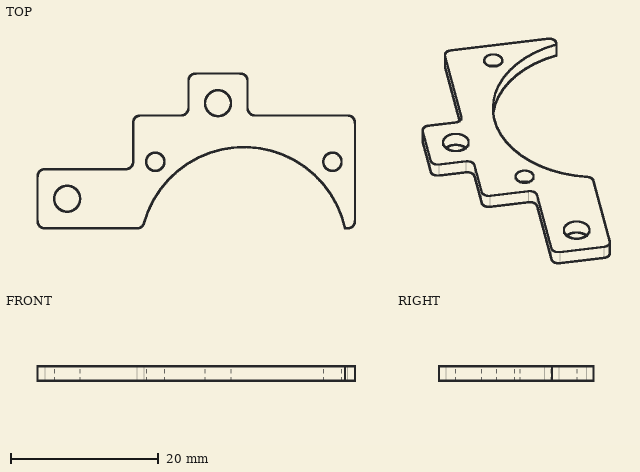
import cadquery as cq

length = 43.0
width = 21.0
thickness = 2.0
corner_radius = 1.0

arm_width = 8.05
body_left = 12.95
body_top = 15.3
tab_left = 20.42
tab_width = 8.05
tab_right = tab_left + tab_width

cutout_radius = 14.0
cutout_x = 27.95
cutout_y = -3.0

mount_diameter = 3.5
mount_centers = [
    (arm_width / 2, arm_width / 2),
    (tab_left + tab_width / 2, width - tab_width / 2),
]
small_diameter = 2.45
small_spacing = 24.0
small_y = 9.05
small_centers = [
    (cutout_x - small_spacing / 2, small_y),
    (cutout_x + small_spacing / 2, small_y),
]


def make_plate():
    """Stepped plate with the circular cutout; all corners but the sharp tip are rounded."""
    blank = (
        cq.Workplane("XY")
        .polyline([
            (0, 0),
            (length, 0),
            (length, body_top),
            (tab_right, body_top),
            (tab_right, width),
            (tab_left, width),
            (tab_left, body_top),
            (body_left, body_top),
            (body_left, arm_width),
            (0, arm_width),
        ])
        .close()
        .extrude(thickness)
    )
    cutout = (
        cq.Workplane("XY")
        .center(cutout_x, cutout_y)
        .circle(cutout_radius)
        .extrude(thickness)
    )
    tip_x = cutout_x + (cutout_radius**2 - cutout_y**2) ** 0.5
    sharp_tip = cq.selectors.NearestToPointSelector((tip_x, 0, thickness / 2))
    corners = cq.selectors.SubtractSelector(cq.selectors.ParallelDirSelector(cq.Vector(0, 0, 1)), sharp_tip)
    return blank.cut(cutout).edges(corners).fillet(corner_radius)


def make_holes(centers, diameter):
    """Cylinders that pass through the full plate thickness."""
    return cq.Workplane("XY").pushPoints(centers).circle(diameter / 2).extrude(thickness)


result = (
    make_plate()
    .cut(make_holes(mount_centers, mount_diameter))
    .cut(make_holes(small_centers, small_diameter))
)